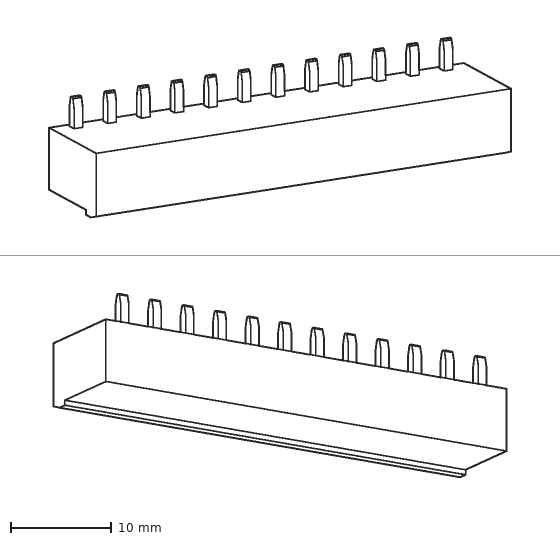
import cadquery as cq

length = 47.05
width = 10.0
body_height = 6.5

ridge_height = 0.5
ridge_start = 7.8
ridge_flat_end = 8.9
ridge_lip = 0.1

pin_count = 12
pin_height = 3.2
pin_size = 1.0
pin_inset = 0.5
end_margin = 2.55
pin_pitch = (length - 2 * end_margin) / (pin_count - 1)

tip_height = 1.05
bevel_height = 0.15
bevel_inset = 0.25
flat_inset = 0.38


def make_housing():
    """Block with its underside ridge, drawn as one section and run along Y."""
    return (
        cq.Workplane("XZ")
        .moveTo(0, 0)
        .lineTo(ridge_start, 0)
        .lineTo(ridge_start, -ridge_height)
        .lineTo(ridge_flat_end, -ridge_height)
        .lineTo(width, -ridge_lip)
        .lineTo(width, body_height)
        .lineTo(0, body_height)
        .close()
        .extrude(-length)
    )


def make_pin(center_y):
    """Square pin standing on the housing, tapered in X only."""
    left = pin_inset
    right = pin_inset + pin_size
    top = body_height + pin_height
    shoulder = top - tip_height
    bevel = top - bevel_height
    return (
        cq.Workplane("XZ", origin=(0, center_y - pin_size / 2, 0))
        .moveTo(left, body_height)
        .lineTo(right, body_height)
        .lineTo(right, shoulder)
        .lineTo(right - bevel_inset, bevel)
        .lineTo(right - flat_inset, top)
        .lineTo(left + flat_inset, top)
        .lineTo(left + bevel_inset, bevel)
        .lineTo(left, shoulder)
        .close()
        .extrude(-pin_size)
    )


result = make_housing()
for index in range(pin_count):
    result = result.union(make_pin(end_margin + index * pin_pitch))